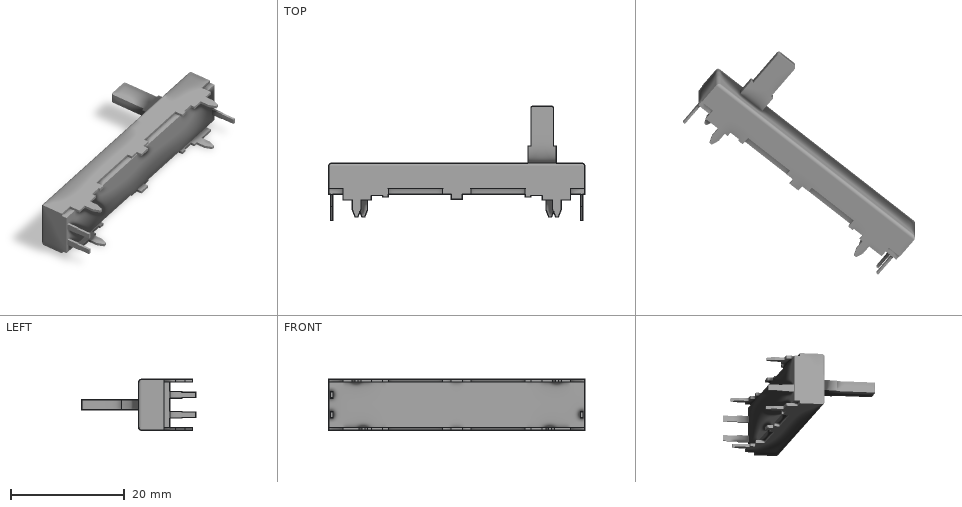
import cadquery as cq


body_length = 45.0
body_width = 9.0
housing_depth = 4.5
edge_radius = 0.6
sheet_thickness = 0.5

half_key_tab = 1.0
half_middle_skirt = 2.5
stop_start = 12.0
stop_end = 13.0
foot_start = 15.0
foot_end = 20.0
key_tab_depth = 6.4
middle_skirt_depth = 5.4
stop_depth = 6.0
link_depth = 5.7
foot_depth = 6.5

prong_width = 1.5
prong_tip_width = 0.5
prong_taper_depth = 8.2
prong_tip_depth = 9.5
upper_prong_offset = 17.6
lower_prong_offset = 16.4

base_depth = 5.5
base_thickness = base_depth - housing_depth
base_width = body_width - 2 * sheet_thickness

terminal_thickness = 0.4
terminal_width = 1.2
terminal_tip_width = 1.0
terminal_shoulder_depth = 7.6
terminal_tip_depth = 10.1
terminal_offset_x = 21.95
terminal_offset_z = 1.75

lever_x = 15.0
lever_thickness = 1.8
lever_base_width = 5.0
lever_base_height = 3.0
lever_width = 4.0
lever_height = 10.0
lever_tip_radius = 0.4


def block(x_start, x_end, y_start, y_end, z_start, z_end):
    """Box between two opposite corners."""
    size = (x_end - x_start, y_end - y_start, z_end - z_start)
    return cq.Workplane("XY").box(*size, centered=False).translate((x_start, y_start, z_start))


def make_prong(center_x, sheet_bottom):
    """Tapered mounting prong, one sheet thick, reaching down from a foot."""
    half_width = prong_width / 2
    half_tip = prong_tip_width / 2
    outline = [
        (-half_width, -housing_depth),
        (-half_width, -prong_taper_depth),
        (-half_tip, -prong_tip_depth),
        (half_tip, -prong_tip_depth),
        (half_width, -prong_taper_depth),
        (half_width, -housing_depth),
    ]
    prong = cq.Workplane("XY").polyline(outline).close().extrude(sheet_thickness)
    return prong.translate((center_x, 0, sheet_bottom))


def make_skirt(sheet_bottom, prong_offset):
    """Stepped side skirt with its tabs, feet and prongs, symmetric about X = 0."""
    sheet_top = sheet_bottom + sheet_thickness

    def strip(x_start, x_end, depth):
        return block(x_start, x_end, -depth, -housing_depth, sheet_bottom, sheet_top)

    skirt = strip(-half_middle_skirt, half_middle_skirt, middle_skirt_depth)
    skirt = skirt.union(strip(-half_key_tab, half_key_tab, key_tab_depth))
    half_skirt = strip(stop_start, stop_end, stop_depth)
    half_skirt = half_skirt.union(strip(stop_end, foot_start, link_depth))
    half_skirt = half_skirt.union(strip(foot_start, foot_end, foot_depth))
    half_skirt = half_skirt.union(make_prong(prong_offset, sheet_bottom))
    return skirt.union(half_skirt).union(half_skirt.mirror("YZ"))


def make_housing():
    """Block with rounded lever-side edges and a skirt along each long side."""
    half_length = body_length / 2
    half_width = body_width / 2
    housing = block(-half_length, half_length, -housing_depth, 0, -half_width, half_width)
    housing = housing.faces(">Y").edges().fillet(edge_radius)
    housing = housing.union(make_skirt(half_width - sheet_thickness, upper_prong_offset))
    return housing.union(make_skirt(-half_width, lower_prong_offset))


def make_terminal(center_x, center_z):
    """Flat terminal, narrower beyond its shoulder."""
    half_thickness = terminal_thickness / 2
    half_width = terminal_width / 2
    half_tip = terminal_tip_width / 2
    x_start = center_x - half_thickness
    x_end = center_x + half_thickness
    shank = block(x_start, x_end, -terminal_shoulder_depth, -base_depth,
                  center_z - half_width, center_z + half_width)
    tip = block(x_start, x_end, -terminal_tip_depth, -terminal_shoulder_depth,
                center_z - half_tip, center_z + half_tip)
    return shank.union(tip)


def make_base():
    """Plate between the skirts that carries two terminals at one end and one at the other."""
    base = cq.Workplane("XY").box(body_length, base_thickness, base_width)
    base = base.translate((0, -(housing_depth + base_depth) / 2, 0))
    terminal_places = [
        (-terminal_offset_x, terminal_offset_z),
        (-terminal_offset_x, -terminal_offset_z),
        (terminal_offset_x, -terminal_offset_z),
    ]
    for center_x, center_z in terminal_places:
        base = base.union(make_terminal(center_x, center_z))
    return base


def make_lever():
    """Flat lever standing on the housing, with a wider foot and rounded tip corners."""
    half_thickness = lever_thickness / 2
    blade = block(lever_x - lever_width / 2, lever_x + lever_width / 2, 0, lever_height,
                  -half_thickness, half_thickness)
    blade = blade.faces(">Y").edges("|Z").fillet(lever_tip_radius)
    foot = block(lever_x - lever_base_width / 2, lever_x + lever_base_width / 2, 0, lever_base_height,
                 -half_thickness, half_thickness)
    return blade.union(foot)


housing = make_housing()
base = make_base()
lever = make_lever()

result = cq.Compound.makeCompound([housing.val(), base.val(), lever.val()])